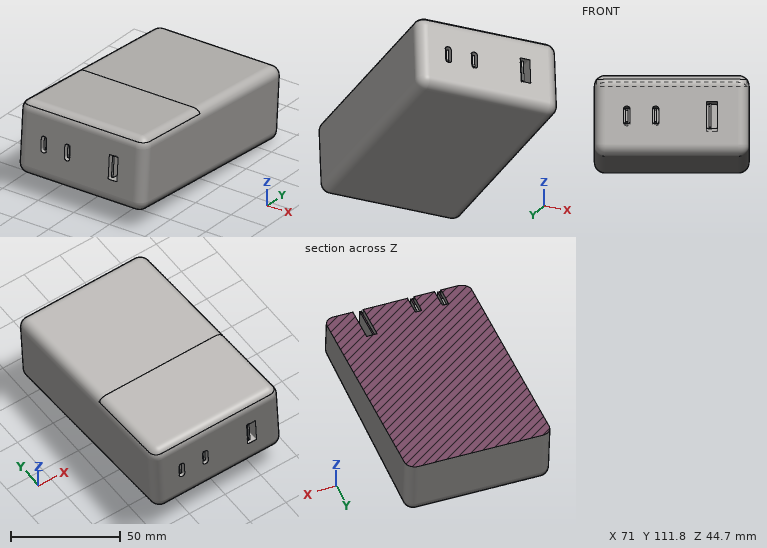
import cadquery as cq

WIDTH = 71.0
LENGTH = 110.0
HEIGHT = 37.1
EDGE_RADIUS = 5.0
TILT = 4.4

COVER_LENGTH = 45.0
COVER_THICKNESS = 2.0

SLOT_WIDTH = 3.0
SLOT_HEIGHT = 8.3
SLOT_DEPTH = 10.1
SLOT_END_RADIUS = 0.49 * SLOT_WIDTH
SLOT_XS = (-20.6, -7.4)
SLOT_TONGUE_WIDTH = 1.0
SLOT_TONGUE_HEIGHT = 5.9

WIDE_PORT_WIDTH = 4.9
WIDE_PORT_HEIGHT = 12.4
WIDE_PORT_DEPTH = 17.9
WIDE_PORT_X = 18.4
WIDE_PORT_CORNER_RADIUS = 0.5
WIDE_TONGUE_WIDTH = 0.9
WIDE_TONGUE_HEIGHT = 10.6
WIDE_TONGUE_OFFSET = -0.9

TONGUE_SETBACK = 1.0

FRONT_Y = -LENGTH / 2
COVER_BOTTOM_Z = HEIGHT / 2 - COVER_THICKNESS


def make_block():
    """Solid block with every edge rounded."""
    return cq.Workplane("XY").box(WIDTH, LENGTH, HEIGHT).edges().fillet(EDGE_RADIUS)


def make_cover_zone():
    """Box around the top front region that belongs to the cover."""
    return (
        cq.Workplane("XY")
        .box(WIDTH, COVER_LENGTH, COVER_THICKNESS, centered=(True, False, False))
        .translate((0, FRONT_Y, COVER_BOTTOM_Z))
    )


def front_box(x, width, height, start, end):
    """Upright box at x, between two depths behind the front face."""
    return (
        cq.Workplane("XY")
        .box(width, end - start, height, centered=(True, False, True))
        .translate((x, FRONT_Y + start, 0))
    )


def cut_slot_port(body, x):
    """Cut one round-ended port and leave a tongue standing in it."""
    opening = front_box(x, SLOT_WIDTH, SLOT_HEIGHT, 0, SLOT_DEPTH)
    opening = opening.edges("|Y").fillet(SLOT_END_RADIUS)
    tongue = front_box(x, SLOT_TONGUE_WIDTH, SLOT_TONGUE_HEIGHT, TONGUE_SETBACK, SLOT_DEPTH)
    return body.cut(opening.cut(tongue))


def cut_wide_port(body):
    """Cut the rectangular port and leave its off-centre tongue."""
    opening = front_box(WIDE_PORT_X, WIDE_PORT_WIDTH, WIDE_PORT_HEIGHT, 0, WIDE_PORT_DEPTH)
    opening = opening.edges("|Y").fillet(WIDE_PORT_CORNER_RADIUS)
    tongue = front_box(
        WIDE_PORT_X + WIDE_TONGUE_OFFSET,
        WIDE_TONGUE_WIDTH,
        WIDE_TONGUE_HEIGHT,
        TONGUE_SETBACK,
        WIDE_PORT_DEPTH,
    )
    return body.cut(opening.cut(tongue))


def make_housing():
    """Block without the cover region, with the three ports."""
    body = make_block().cut(make_cover_zone())
    for x in SLOT_XS:
        body = cut_slot_port(body, x)
    return cut_wide_port(body)


def make_cover():
    """Plate that completes the rounded block at the top front."""
    return make_block().intersect(make_cover_zone())


def tilt(body):
    """Turn a body about the X axis so that its front end rises."""
    return body.rotate((0, 0, 0), (1, 0, 0), -TILT)


housing = tilt(make_housing())
cover = tilt(make_cover())

result = cq.Compound.makeCompound([housing.val(), cover.val()])